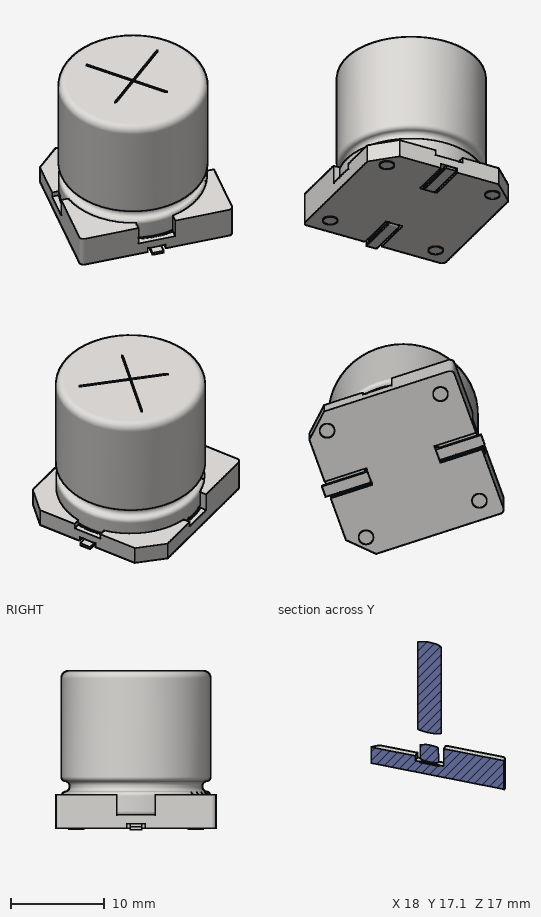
import cadquery as cq

TOTAL_HEIGHT = 17.0
BASE_SIZE = 17.1
LEAD_SPAN = 18.0

BASE_BOTTOM = 0.15
PLATE_TOP = 2.19
CORNER_BLOCK_TOP = 3.76
POLARITY_CHAMFER = 2.54
CORNER_RADIUS = 0.5

NOTCH_FLOOR = 1.6
NOTCH_HALF_WIDTH = 1.63
REAR_NOTCH_HALF_WIDTH = 2.06

CAN_RADIUS = 8.0
COLLAR_RADIUS = 7.95
WAIST_RADIUS = 14.24 / 2
TOP_ROUND = 0.8
BOTTOM_ROUND = 0.5
COLLAR_BOTTOM = 1.98
CAN_BOTTOM = COLLAR_BOTTOM - BOTTOM_ROUND
COLLAR_TOP = 3.63
WAIST_BOTTOM = 4.57
WAIST_TOP = 4.71
BODY_BOTTOM = 5.65

VENT_LENGTH = 11.2
VENT_WIDTH = 0.12
VENT_DEPTH = 0.1
VENT_END_X = 2.85

LEAD_WIDTH = 1.25
LEAD_THICKNESS = 0.3
LEAD_INNER_X = 3.85
POCKET_WIDTH = 2.0
POCKET_TOP = 0.67

FOOT_DIAMETER = 1.59
FOOT_HEIGHT = 0.1
FOOT_OFFSET = 6.4

HALF_BASE = BASE_SIZE / 2


def box_between(x_min, x_max, y_min, y_max, z_min, z_max):
    """Box given by its limits along each axis."""
    size = (x_max - x_min, y_max - y_min, z_max - z_min)
    return cq.Workplane("XY").box(*size, centered=False).translate((x_min, y_min, z_min))


def make_base():
    """Plate with two raised corner blocks on +X and a notch in each side."""
    base = box_between(-HALF_BASE, HALF_BASE, -HALF_BASE, HALF_BASE, BASE_BOTTOM, PLATE_TOP)
    base = base.edges("|Z and <X").chamfer(POLARITY_CHAMFER)
    for y_min, y_max in ((-HALF_BASE, -REAR_NOTCH_HALF_WIDTH), (REAR_NOTCH_HALF_WIDTH, HALF_BASE)):
        base = base.union(
            box_between(NOTCH_HALF_WIDTH, HALF_BASE, y_min, y_max, BASE_BOTTOM, CORNER_BLOCK_TOP)
        )
    for y_side in (-HALF_BASE, HALF_BASE):
        corner = cq.selectors.BoxSelector(
            (HALF_BASE - CORNER_RADIUS, y_side - CORNER_RADIUS, BASE_BOTTOM),
            (HALF_BASE + CORNER_RADIUS, y_side + CORNER_RADIUS, CORNER_BLOCK_TOP),
        )
        base = base.edges("|Z").edges(corner).fillet(CORNER_RADIUS)

    return base.cut(make_notches())


def make_notches():
    """Cutter for the side notches, which dip into the can's seat once inside the collar.

    The notches meet below the can, which fills their inner part.
    """
    def notch_zone(floor):
        across = box_between(
            -NOTCH_HALF_WIDTH, NOTCH_HALF_WIDTH, -HALF_BASE, HALF_BASE, floor, CORNER_BLOCK_TOP
        )
        front = box_between(
            -HALF_BASE, 0, -NOTCH_HALF_WIDTH, NOTCH_HALF_WIDTH, floor, CORNER_BLOCK_TOP
        )
        rear = box_between(
            0, HALF_BASE, -REAR_NOTCH_HALF_WIDTH, REAR_NOTCH_HALF_WIDTH, floor, CORNER_BLOCK_TOP
        )
        return across.union(front).union(rear)

    seat = cq.Workplane("XY").circle(COLLAR_RADIUS).extrude(CORNER_BLOCK_TOP)
    return notch_zone(NOTCH_FLOOR).union(notch_zone(CAN_BOTTOM).intersect(seat))


def make_can():
    """Revolved can with rounded ends and a crimped waist above its collar."""
    lower_roll_middle = ((COLLAR_RADIUS + WAIST_RADIUS) / 2, (COLLAR_TOP + WAIST_BOTTOM) / 2)
    upper_roll_middle = ((CAN_RADIUS + WAIST_RADIUS) / 2, (BODY_BOTTOM + WAIST_TOP) / 2)
    profile = (
        cq.Workplane("XZ")
        .moveTo(0, CAN_BOTTOM)
        .lineTo(COLLAR_RADIUS - BOTTOM_ROUND, CAN_BOTTOM)
        .tangentArcPoint((COLLAR_RADIUS, COLLAR_BOTTOM), relative=False)
        .lineTo(COLLAR_RADIUS, COLLAR_TOP)
        .tangentArcPoint(lower_roll_middle, relative=False)
        .tangentArcPoint((WAIST_RADIUS, WAIST_BOTTOM), relative=False)
        .lineTo(WAIST_RADIUS, WAIST_TOP)
        .tangentArcPoint(upper_roll_middle, relative=False)
        .tangentArcPoint((CAN_RADIUS, BODY_BOTTOM), relative=False)
        .lineTo(CAN_RADIUS, TOTAL_HEIGHT - TOP_ROUND)
        .tangentArcPoint((CAN_RADIUS - TOP_ROUND, TOTAL_HEIGHT), relative=False)
        .lineTo(0, TOTAL_HEIGHT)
        .close()
    )
    return profile.revolve(360, (0, 0), (0, 1))


def make_vent_cross():
    """Cutter for two diagonal score lines, ended at the polarity mark."""
    arm = cq.Workplane("XY").box(VENT_LENGTH, VENT_WIDTH, 2 * VENT_DEPTH)
    cross = arm.rotate((0, 0, 0), (0, 0, 1), 45).union(arm.rotate((0, 0, 0), (0, 0, 1), -45))
    kept_zone = box_between(
        -VENT_LENGTH, VENT_END_X, -VENT_LENGTH, VENT_LENGTH, -VENT_DEPTH, VENT_DEPTH
    )
    return cross.intersect(kept_zone).translate((0, 0, TOTAL_HEIGHT))


def make_lead():
    """L-shaped lead on the -X side: flat foot, rounded bend and riser into the base."""
    foot = box_between(
        -LEAD_SPAN / 2, -LEAD_INNER_X, -LEAD_WIDTH / 2, LEAD_WIDTH / 2, 0, LEAD_THICKNESS
    )
    riser = box_between(
        -LEAD_INNER_X - LEAD_THICKNESS,
        -LEAD_INNER_X,
        -LEAD_WIDTH / 2,
        LEAD_WIDTH / 2,
        0,
        POCKET_TOP + LEAD_THICKNESS,
    )
    return foot.union(riser).edges("|Y and >X and <Z").fillet(LEAD_THICKNESS)


def make_pocket():
    """Cutter for the open channel above the lead on the -X side."""
    return box_between(
        -HALF_BASE, -LEAD_INNER_X, -POCKET_WIDTH / 2, POCKET_WIDTH / 2, BASE_BOTTOM, POCKET_TOP
    )


def make_feet():
    """Four round stand-off feet, sunk a little into the plate so they join it."""
    return (
        cq.Workplane("XY", origin=(0, 0, BASE_BOTTOM - FOOT_HEIGHT))
        .rect(2 * FOOT_OFFSET, 2 * FOOT_OFFSET, forConstruction=True)
        .vertices()
        .circle(FOOT_DIAMETER / 2)
        .extrude(2 * FOOT_HEIGHT)
    )


def on_both_ends(shape):
    """The shape together with its mirror image on the +X side."""
    return shape.union(shape.mirror("YZ"))


base = make_base().cut(on_both_ends(make_pocket())).union(make_feet())
can = make_can().cut(make_vent_cross())
result = base.union(can).union(on_both_ends(make_lead()))